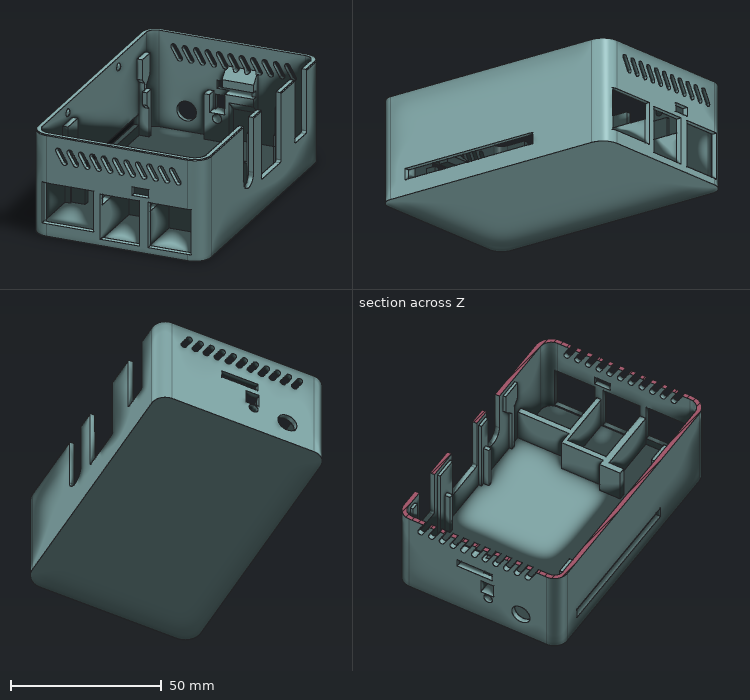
import cadquery as cq

LENGTH = 96.9
WIDTH = 63.0
HEIGHT = 36.6
WALL = 1.8
FLOOR = 1.8
FRONT_CORNER_RADIUS = 6.0
BACK_CORNER_RADIUS = 5.0
RIM_CHAMFER = 0.3

LEFT_FACE = WALL
RIGHT_FACE = WIDTH - WALL
FRONT_FACE = WALL
BACK_FACE = LENGTH - WALL

VENT_COUNT = 11
VENT_FIRST_X = 11.3
VENT_LAST_X = 52.5
VENT_PITCH = (VENT_LAST_X - VENT_FIRST_X) / (VENT_COUNT - 1)
VENT_Z = 29.6
VENT_LENGTH = 6.4
VENT_DIAMETER = 1.9
VENT_ANGLE = 120

FRONT_OPENING_DEPTH = 1.9
FRONT_OPENINGS = [
    (4.3, 23.0, 4.6, 19.3),
    (25.4, 39.5, 2.3, 18.6),
    (42.7, 58.1, 2.3, 18.6),
    (36.8, 42.8, 20.1, 23.2),
]

SIDE_SLOT_Y = (31.2, 85.6)
SIDE_SLOT_Z = (5.5, 9.5)

RIGHT_NOTCHES = [
    (74.9, 84.6, 13.8, 0.8),
    (47.4, 63.4, 11.6, 0.8),
    (32.6, 40.8, 12.9, 4.0),
]

RIB_TOP = 14.0
BOARD_EDGE_Y = (25.7, 28.0)
LEFT_RIB_END = 8.7
CORNER_RIB_START = 17.4
MIDDLE_BAY = (25.4, 40.2, 23.7)
RIGHT_BAY = (42.0, 18.8)
BAY_OUTER_LEFT = 23.1
BAY_OUTER_STEP_X = 41.5
BAY_OUTER_STEP_Y = 20.8

PAD_TOP = 30.0
PIN_TOP = 18.4
RIGHT_PAD_FACE = 60.1
LEFT_PAD_FACE = 3.8
RIGHT_PIN_FACE = 58.0
PAD_TAPER_Z = 22.7
BUMP_DIAMETER = 3.3
BUMP_Z = 33.2
BUMP_YS = (26.9, 68.7)
CLIP_BOTTOM = 13.85
LEFT_FRONT_PAD_Y = (22.8, 30.8)
RIGHT_FRONT_PAD_Y = (22.8, 30.3)
FRONT_CLIP_Y = (24.7, 26.3)
FRONT_CLIP_FACE = 5.9
BACK_CLIP_FACE = 5.4
LEFT_BACK_PAD_Y = (84.1, 90.6)
LEFT_BACK_FOOT_Y = (85.8, 87.6)
RIGHT_BACK_PAD_Y = (87.95, 90.7)
RIGHT_BACK_FOOT_Y = (87.95, 88.8)
RIGHT_PINNED_PADS = [
    ((41.8, 46.2), (43.4, 44.8)),
    ((65.0, 72.9), (68.5, 70.0)),
]

HOLDER_FRONT = 91.4
HOLDER_LEFT = 22.8
CARD_LEFT = 24.8
CARD_RIGHT = 30.3
CARD_SHELF = 11.8
CARD_WINDOW_LEFT = 25.5
CARD_WINDOW_TOP = 17.0
HOLDER_LEFT_TOP = 18.2
LEG_RIGHT = 31.9
BAR_RIGHT = 40.8
BAR_FRONT_BOTTOM = 16.5
GAP_Z = (19.3, 21.6)
GAP_WINDOW_X = (26.0, 39.4)
GAP_WINDOW_TOP = 22.2
GAP_STOP_FRONT = 93.3
HOOD_LEFT = 29.35
HOOD_FRONT_TOP = 24.4
CARD_HOLE_DIAMETER = 3.3
CARD_HOLE_Z = 10.0

CABLE_HOLE_DIAMETER = 7.0
CABLE_HOLE_X = 14.9
CABLE_HOLE_Z = 9.1


def box(x0, x1, y0, y1, z0, z1):
    """Box between two limits along each axis."""
    return cq.Workplane("XY").box(x1 - x0, y1 - y0, z1 - z0, centered=False).translate((x0, y0, z0))


def side_prism(points_yz, x0, x1):
    """Outline in Y and Z, extruded along X."""
    return cq.Workplane("YZ", origin=(x0, 0, 0)).polyline(points_yz).close().extrude(x1 - x0)


def shell():
    """Floor and walls with rounded upright corners and a bevelled outer rim."""
    outer = (
        box(0, WIDTH, 0, LENGTH, 0, HEIGHT)
        .edges("|Z and <Y").fillet(FRONT_CORNER_RADIUS)
        .edges("|Z and >Y").fillet(BACK_CORNER_RADIUS)
        .faces(">Z").edges().chamfer(RIM_CHAMFER)
    )
    cavity = (
        box(LEFT_FACE, RIGHT_FACE, FRONT_FACE, BACK_FACE, FLOOR, HEIGHT)
        .edges("|Z and <Y").fillet(FRONT_CORNER_RADIUS - WALL)
        .edges("|Z and >Y").fillet(BACK_CORNER_RADIUS - WALL)
    )
    return outer.cut(cavity)


def connector_ribs():
    """Rib along the board edge and the walls of two bays behind the front openings."""
    edge_front, edge_back = BOARD_EDGE_Y
    bay_left, bay_right, bay_back = MIDDLE_BAY
    right_bay_left, right_bay_back = RIGHT_BAY
    outline = [
        (BAY_OUTER_LEFT, FRONT_FACE),
        (BAY_OUTER_LEFT, edge_front),
        (CORNER_RIB_START, edge_front),
        (CORNER_RIB_START, edge_back),
        (bay_left, edge_back),
        (bay_left, edge_front),
        (BAY_OUTER_STEP_X, edge_front),
        (BAY_OUTER_STEP_X, BAY_OUTER_STEP_Y),
        (RIGHT_FACE, BAY_OUTER_STEP_Y),
        (RIGHT_FACE, right_bay_back),
        (right_bay_left, right_bay_back),
        (right_bay_left, FRONT_FACE),
        (bay_right, FRONT_FACE),
        (bay_right, bay_back),
        (bay_left, bay_back),
        (bay_left, FRONT_FACE),
    ]
    bays = cq.Workplane("XY").polyline(outline).close().extrude(RIB_TOP)
    left_rib = box(LEFT_FACE, LEFT_RIB_END, edge_front, edge_back, 0, RIB_TOP)
    return bays.union(left_rib)


def tapered_pad(x0, x1, pad_y, foot_y):
    """Pad on a side wall that tapers at 45 degrees to a foot standing on the floor."""
    pad_front, pad_back = pad_y
    foot_front, foot_back = foot_y
    outline = [(pad_back, PAD_TOP), (pad_front, PAD_TOP)]
    if foot_front > pad_front:
        outline.append((pad_front, PAD_TAPER_Z))
    outline += [
        (foot_front, PAD_TAPER_Z - (foot_front - pad_front)),
        (foot_front, 0),
        (foot_back, 0),
        (foot_back, PAD_TAPER_Z - (pad_back - foot_back)),
        (pad_back, PAD_TAPER_Z),
    ]
    return side_prism(outline, x0, x1)


def right_supports():
    """Four pads on the right wall; the middle two are straight and carry locating pins."""
    supports = (
        tapered_pad(RIGHT_PAD_FACE, RIGHT_FACE, RIGHT_FRONT_PAD_Y, FRONT_CLIP_Y)
        .union(tapered_pad(RIGHT_PAD_FACE, RIGHT_FACE, RIGHT_BACK_PAD_Y, RIGHT_BACK_FOOT_Y))
    )
    for pad_y, pin_y in RIGHT_PINNED_PADS:
        supports = (
            supports
            .union(box(RIGHT_PAD_FACE, RIGHT_FACE, *pad_y, 0, PAD_TOP))
            .union(box(RIGHT_PIN_FACE, RIGHT_PAD_FACE, *pin_y, 0, PIN_TOP))
        )
    return supports


def left_supports():
    """Two tapered pads on the left wall, each with a board clip that is undercut at 45 degrees."""
    clip_front, clip_back = FRONT_CLIP_Y
    rib_front = BOARD_EDGE_Y[0]
    front_clip = [
        (clip_front, PIN_TOP),
        (clip_back, PIN_TOP),
        (clip_back, CLIP_BOTTOM - (rib_front - clip_front)),
        (rib_front, CLIP_BOTTOM - (rib_front - clip_front)),
        (clip_front, CLIP_BOTTOM),
    ]
    foot_front, foot_back = LEFT_BACK_FOOT_Y
    pad_front = LEFT_BACK_PAD_Y[0]
    back_clip = [
        (pad_front, PIN_TOP),
        (foot_back, PIN_TOP),
        (foot_back, 0),
        (foot_front, 0),
        (foot_front, CLIP_BOTTOM - (foot_front - pad_front)),
        (pad_front, CLIP_BOTTOM),
    ]
    return (
        tapered_pad(LEFT_FACE, LEFT_PAD_FACE, LEFT_FRONT_PAD_Y, FRONT_CLIP_Y)
        .union(tapered_pad(LEFT_FACE, LEFT_PAD_FACE, LEFT_BACK_PAD_Y, LEFT_BACK_FOOT_Y))
        .union(side_prism(front_clip, LEFT_PAD_FACE, FRONT_CLIP_FACE))
        .union(side_prism(back_clip, LEFT_PAD_FACE, BACK_CLIP_FACE))
    )


def snap_bumps():
    """Spherical bumps centred in the side walls, trimmed to their inner part."""
    bumps = cq.Workplane("XY")
    for x in (WALL / 2, WIDTH - WALL / 2):
        for y in BUMP_YS:
            bumps = bumps.union(cq.Workplane("XY", origin=(x, y, BUMP_Z)).sphere(BUMP_DIAMETER / 2))
    inside = box(WALL / 2, WIDTH - WALL / 2, 0, LENGTH, 0, HEIGHT)
    return bumps.intersect(inside)


def card_holder():
    """Card shelf between two legs, a bar beside it, then a gap with a stop and a sloping hood."""
    depth = BACK_FACE - HOLDER_FRONT
    gap_bottom, gap_top = GAP_Z
    bar_outline = [
        (HOLDER_FRONT, BAR_FRONT_BOTTOM),
        (HOLDER_FRONT, gap_bottom),
        (BACK_FACE, gap_bottom),
        (BACK_FACE, BAR_FRONT_BOTTOM - depth),
    ]
    hood_outline = [
        (HOLDER_FRONT, gap_top),
        (HOLDER_FRONT, HOOD_FRONT_TOP),
        (BACK_FACE, HOOD_FRONT_TOP + depth),
        (BACK_FACE, gap_top),
    ]
    return (
        box(HOLDER_LEFT, LEG_RIGHT, HOLDER_FRONT, BACK_FACE, 0, CARD_SHELF)
        .union(box(HOLDER_LEFT, CARD_LEFT, HOLDER_FRONT, BACK_FACE, 0, HOLDER_LEFT_TOP))
        .union(box(CARD_RIGHT, LEG_RIGHT, HOLDER_FRONT, BACK_FACE, 0, gap_bottom))
        .union(side_prism(bar_outline, CARD_RIGHT, BAR_RIGHT))
        .union(box(GAP_WINDOW_X[1], BAR_RIGHT, GAP_STOP_FRONT, BACK_FACE, gap_bottom, gap_top))
        .union(side_prism(hood_outline, HOOD_LEFT, BAR_RIGHT))
    )


def vents():
    """Row of slanted slots running right through the case from front to back."""
    centres = [(VENT_FIRST_X + i * VENT_PITCH, VENT_Z) for i in range(VENT_COUNT)]
    return (
        cq.Workplane("XZ").pushPoints(centres)
        .slot2D(VENT_LENGTH, VENT_DIAMETER, VENT_ANGLE).extrude(-LENGTH)
    )


def front_openings():
    """Connector openings, which leave a sliver of the rounded cavity corners standing."""
    cutter = cq.Workplane("XY")
    for x0, x1, z0, z1 in FRONT_OPENINGS:
        cutter = cutter.union(box(x0, x1, 0, FRONT_OPENING_DEPTH, z0, z1))
    return cutter


def back_openings():
    """Card window, the window behind the holder gap and two round holes."""
    def hole(x, z, diameter):
        start = cq.Workplane("XZ", origin=(x, HOLDER_FRONT, z))
        return start.circle(diameter / 2).extrude(HOLDER_FRONT - LENGTH)

    return (
        box(CARD_WINDOW_LEFT, CARD_RIGHT, BACK_FACE, LENGTH, CARD_SHELF, CARD_WINDOW_TOP)
        .union(box(*GAP_WINDOW_X, BACK_FACE, LENGTH, GAP_Z[0], GAP_WINDOW_TOP))
        .union(hole(CABLE_HOLE_X, CABLE_HOLE_Z, CABLE_HOLE_DIAMETER))
        .union(hole((CARD_LEFT + CARD_RIGHT) / 2, CARD_HOLE_Z, CARD_HOLE_DIAMETER))
    )


def right_notches():
    """Notches in the right wall with filleted bottom corners; the last is nearly a half round."""
    cutter = cq.Workplane("XY")
    for y0, y1, bottom, fillet in RIGHT_NOTCHES:
        notch = box(RIGHT_FACE, WIDTH, y0, y1, bottom, HEIGHT)
        cutter = cutter.union(notch.edges("|X and <Z").fillet(fillet))
    return cutter


def side_slot():
    """Long slot through the left wall only."""
    return box(0, LEFT_FACE, *SIDE_SLOT_Y, *SIDE_SLOT_Z)


result = (
    shell()
    .union(connector_ribs())
    .union(right_supports())
    .union(left_supports())
    .union(snap_bumps())
    .union(card_holder())
    .cut(vents())
    .cut(front_openings())
    .cut(back_openings())
    .cut(right_notches())
    .cut(side_slot())
)